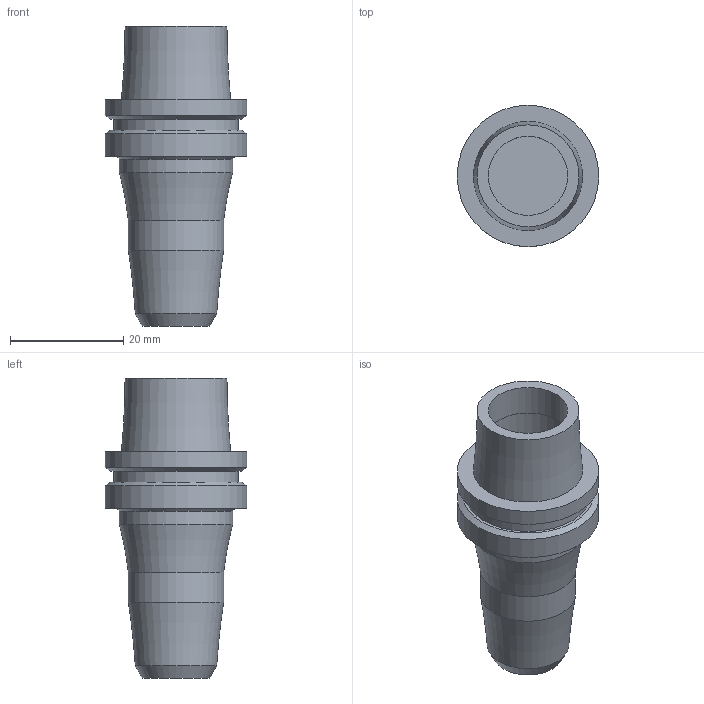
import cadquery as cq

total_length = 53.0
shank_length = 13.0
nose_tip_z = shank_length - total_length

shank_top_radius = 9.0
shank_base_radius = 9.65
shank_flare_radius = 130.0

flange_radius = 12.5
flange_thickness = 10.0
groove_floor_radius = 11.0
groove_chamfer_width = 1.0
groove_top_z = -2.8
groove_bottom_z = -6.05
groove_chamfer_height = 0.65

collar_radius = 10.0
undercut_size = 0.5
collar_bottom_z = -12.9
neck_arc_radius = 60.0

barrel_radius = 8.42
barrel_top_z = -21.35
barrel_bottom_z = -26.65
nose_arc_radius = 120.0
nose_end_radius = 7.2
tip_radius = 6.0
tip_height = 2.2

mouth_radius = 7.0
mouth_depth = 5.5
chamber_radius = 8.1
chamber_floor_z = 0.0


def make_body():
    """Revolve the outer half profile about Z; sketch coordinates are (radius, Z)."""
    flange_bottom_z = -flange_thickness
    groove_shoulder_radius = flange_radius - groove_chamfer_width
    floor_top_z = groove_top_z - groove_chamfer_height
    floor_bottom_z = groove_bottom_z + groove_chamfer_height
    profile = (
        cq.Workplane("XZ")
        .moveTo(0, shank_length)
        .lineTo(shank_top_radius, shank_length)
        .radiusArc((shank_base_radius, 0), -shank_flare_radius)
        .lineTo(flange_radius, 0)
        .lineTo(flange_radius, groove_top_z)
        .lineTo(groove_shoulder_radius, floor_top_z)
        .lineTo(groove_floor_radius, floor_top_z)
        .lineTo(groove_floor_radius, floor_bottom_z)
        .lineTo(groove_shoulder_radius, floor_bottom_z)
        .lineTo(flange_radius, groove_bottom_z)
        .lineTo(flange_radius, flange_bottom_z)
        .lineTo(collar_radius + undercut_size, flange_bottom_z)
        .lineTo(collar_radius, flange_bottom_z - undercut_size)
        .lineTo(collar_radius, collar_bottom_z)
        .radiusArc((barrel_radius, barrel_top_z), -neck_arc_radius)
        .lineTo(barrel_radius, barrel_bottom_z)
        .radiusArc((nose_end_radius, nose_tip_z + tip_height), -nose_arc_radius)
        .lineTo(tip_radius, nose_tip_z)
        .lineTo(0, nose_tip_z)
        .close()
    )
    return profile.revolve(360, (0, 0), (0, 1))


def make_bore():
    """Stepped blind cavity that opens at the shank end."""
    mouth_floor_z = shank_length - mouth_depth
    mouth = cq.Workplane("XY", origin=(0, 0, mouth_floor_z)).circle(mouth_radius).extrude(mouth_depth)
    chamber_height = mouth_floor_z - chamber_floor_z
    chamber = cq.Workplane("XY", origin=(0, 0, chamber_floor_z)).circle(chamber_radius).extrude(chamber_height)
    return mouth.union(chamber)


result = make_body().cut(make_bore())